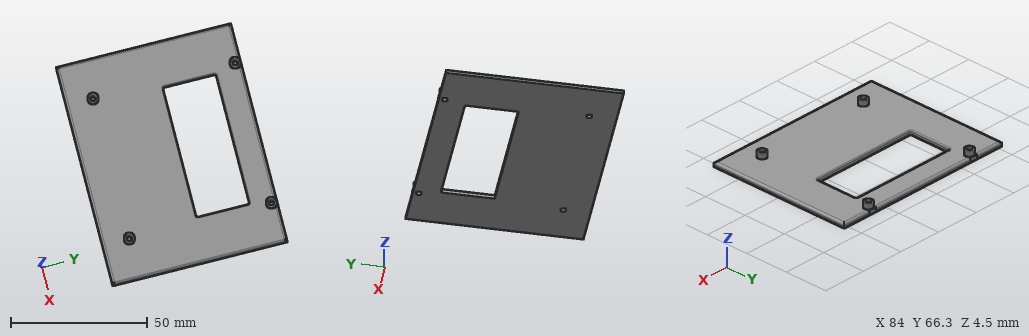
import cadquery as cq

plate_length = 84.0
plate_width = 66.3
plate_thickness = 2.0
edge_round = 1.0

window_length = 50.0
window_width = 20.1
window_center_y = 13.0
window_corner_radius = 0.7
window_rim_round = 0.5

post_pitch = 53.85
post_pattern_center_x = -0.1
rear_post_y = 30.9
post_diameter = 4.0
post_bore = 2.0
post_height = 2.5
post_rim_round = 0.25

pad_width = 3.4
pad_round = 0.3

post_top = plate_thickness + post_height
front_post_y = rear_post_y - post_pitch
post_columns = (
    post_pattern_center_x - post_pitch / 2,
    post_pattern_center_x + post_pitch / 2,
)


def rounded_plate():
    blank = cq.Workplane("XY").box(
        plate_length, plate_width, plate_thickness, centered=(True, True, False)
    )
    return blank.faces(">Z").edges().fillet(edge_round)


def window_cutter():
    return (
        cq.Workplane("XY")
        .center(0, window_center_y)
        .rect(window_length, window_width)
        .extrude(plate_thickness)
        .edges("|Z")
        .fillet(window_corner_radius)
    )


def round_window_rim(plate):
    """Round the upper rim of the window, leaving the outer edges alone."""
    reach_x = window_length / 2 + window_rim_round
    reach_y = window_width / 2 + window_rim_round
    rim = cq.selectors.BoxSelector(
        (-reach_x, window_center_y - reach_y, plate_thickness - window_rim_round / 2),
        (reach_x, window_center_y + reach_y, plate_thickness + window_rim_round / 2),
    )
    return plate.edges(rim).fillet(window_rim_round)


def post(x, y):
    """Hollow post from the underside up, rounded inside and out at its top."""
    return (
        cq.Workplane("XY", origin=(x, y, 0))
        .circle(post_diameter / 2)
        .circle(post_bore / 2)
        .extrude(post_top)
        .faces(">Z")
        .edges()
        .fillet(post_rim_round)
    )


def edge_pad(x):
    """Block from a rear post out to the back edge, level with the plate top."""
    pad_depth = plate_width / 2 - rear_post_y
    pad = cq.Workplane("XY", origin=(x, rear_post_y + pad_depth / 2, 0)).box(
        pad_width, pad_depth, plate_thickness, centered=(True, True, False)
    )
    return pad.edges(">Y and >Z").fillet(pad_round)


def bore(x, y):
    return cq.Workplane("XY", origin=(x, y, 0)).circle(post_bore / 2).extrude(post_top)


result = round_window_rim(rounded_plate().cut(window_cutter()))
for column_x in post_columns:
    result = result.union(edge_pad(column_x))
    for row_y in (front_post_y, rear_post_y):
        result = result.union(post(column_x, row_y)).cut(bore(column_x, row_y))